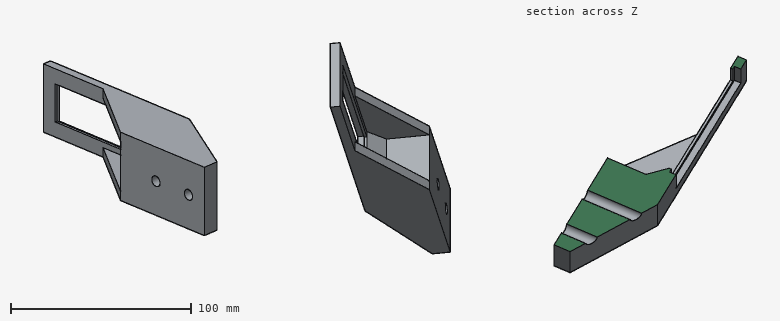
import cadquery as cq

length = 158.2
depth = 39.0
height = 41.9

plate_thickness = 5.5
plate_length = 46.3
block_start = 93.0
back_corner = 108.2
end_depth = 10.1

cheek_thickness = 5.9
cavity_height = height - 2 * cheek_thickness
plate_front = depth - plate_thickness
cavity_chamfer = 9.5

window_left = 9.2
window_right = block_start - cavity_chamfer
window_length = window_right - window_left
window_height = 23.2
lip_thickness = 1.6
recess_margin = 2.0

hole_diameter = 6.3
hole_spacing = 25.3
last_hole_from_end = 12.3


def prism(points, prism_height):
    """Extrude an XY outline symmetrically about the mid-height plane."""
    return cq.Workplane("XY").polyline(points).close().extrude(prism_height / 2, both=True)


def window_box(margin, front_y):
    """Box covering the window, enlarged by margin, from front_y to the back face."""
    box_depth = depth - front_y
    return cq.Workplane("XY").box(
        window_length + 2 * margin, box_depth, window_height + 2 * margin
    ).translate(((window_left + window_right) / 2, front_y + box_depth / 2, 0))


body = prism(
    [
        (0, depth),
        (0, plate_front),
        (plate_length, plate_front),
        (block_start, 0),
        (length, 0),
        (length, end_depth),
        (back_corner, depth),
    ],
    height,
)

cavity = prism(
    [
        (0, 0),
        (block_start, 0),
        (block_start, plate_front - cavity_chamfer),
        (window_right, plate_front),
        (0, plate_front),
    ],
    cavity_height,
)
body = body.cut(cavity)

body = body.cut(window_box(0, plate_front))
body = body.cut(window_box(recess_margin, plate_front + lip_thickness))

last_hole_x = length - last_hole_from_end
for hole_x in (last_hole_x - hole_spacing, last_hole_x):
    hole = cq.Workplane("XZ").center(hole_x, 0).circle(hole_diameter / 2).extrude(-depth)
    body = body.cut(hole)

result = body